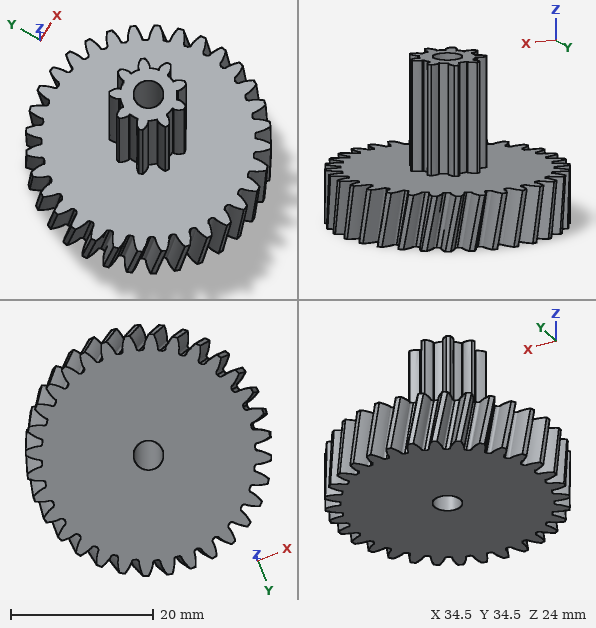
import cadquery as cq
import math

wheel_diameter = 34.5
wheel_width = 8.0
overall_height = 24.0
bore_diameter = 4.2

wheel_teeth = 32
pinion_teeth = 9
helix_angle = math.radians(10)
normal_pressure_angle = math.radians(20)

wheel_dedendum = 1.25
pinion_dedendum = 0.5
root_fillet = 0.38

wheel_tip_radius = wheel_diameter / 2
module = wheel_tip_radius / (wheel_teeth / (2 * math.cos(helix_angle)) + 1)
wheel_pitch_radius = wheel_tip_radius - module
wheel_root_radius = wheel_pitch_radius - wheel_dedendum * module
wheel_root_fillet = root_fillet * module
wheel_pressure_angle = math.atan(math.tan(normal_pressure_angle) / math.cos(helix_angle))
wheel_twist = math.degrees(wheel_width * math.tan(helix_angle) / wheel_pitch_radius)

pinion_pitch_radius = pinion_teeth * module / 2
pinion_tip_radius = pinion_pitch_radius + module
pinion_root_radius = pinion_pitch_radius - pinion_dedendum * module

flank_points = 5


def polar(radius, angle):
    return (radius * math.cos(angle), radius * math.sin(angle))


def involute(angle):
    return math.tan(angle) - angle


def half_tooth_at_base(teeth, pressure_angle):
    """Half of a tooth's angle, measured on the base circle."""
    return math.pi / (2 * teeth) + involute(pressure_angle)


def involute_flank(base_radius, start_radius, tip_radius, half_base_angle):
    """(radius, half tooth angle) pairs along one flank, from its foot to the tip."""
    flank = []
    for i in range(flank_points):
        radius = start_radius + (tip_radius - start_radius) * i / (flank_points - 1)
        flank.append((radius, half_base_angle - involute(math.acos(base_radius / radius))))
    return flank


def gear_outline(teeth, flank, root_radius, foot_angle, fillet_middle=None):
    """Closed toothed outline with the first tooth centred on +X.

    The root arc ends at foot_angle from each tooth's centre. It joins the flank by an arc
    through fillet_middle (radius, half tooth angle), or by a radial line if there is none.
    """
    pitch_angle = 2 * math.pi / teeth
    tip_radius = flank[-1][0]
    outline = cq.Workplane("XY").moveTo(*polar(root_radius, -foot_angle))
    for tooth in range(teeth):
        centre = tooth * pitch_angle
        rising = [polar(radius, centre - angle) for radius, angle in flank]
        falling = [polar(radius, centre + angle) for radius, angle in reversed(flank)]
        root_end = polar(root_radius, centre + foot_angle)
        next_root = polar(root_radius, centre + pitch_angle - foot_angle)

        if fillet_middle:
            middle_radius, middle_angle = fillet_middle
            outline = outline.threePointArc(polar(middle_radius, centre - middle_angle), rising[0])
        else:
            outline = outline.lineTo(*rising[0])
        outline = outline.spline(rising[1:], includeCurrent=True)
        outline = outline.threePointArc(polar(tip_radius, centre), falling[0])
        outline = outline.spline(falling[1:], includeCurrent=True)
        if fillet_middle:
            outline = outline.threePointArc(polar(middle_radius, centre + middle_angle), root_end)
        else:
            outline = outline.lineTo(*root_end)
        outline = outline.threePointArc(polar(root_radius, centre + pitch_angle / 2), next_root)
    return outline.close()


def make_wheel():
    base_radius = wheel_pitch_radius * math.cos(wheel_pressure_angle)
    half_base_angle = half_tooth_at_base(wheel_teeth, wheel_pressure_angle)

    centre_radius = wheel_root_radius + wheel_root_fillet
    turn = wheel_root_fillet / base_radius
    centre_angle = half_base_angle + turn - involute(math.acos(base_radius / centre_radius))
    contact_length = math.sqrt(centre_radius**2 - base_radius**2) + wheel_root_fillet
    contact_radius = math.hypot(base_radius, contact_length)
    flank = involute_flank(base_radius, contact_radius, wheel_tip_radius, half_base_angle)

    centre_x, centre_y = polar(centre_radius, centre_angle)
    contact_x, contact_y = polar(*flank[0])
    root_x, root_y = polar(wheel_root_radius, centre_angle)
    toward_x = (contact_x + root_x) / 2 - centre_x
    toward_y = (contact_y + root_y) / 2 - centre_y
    stretch = wheel_root_fillet / math.hypot(toward_x, toward_y)
    middle_x = centre_x + stretch * toward_x
    middle_y = centre_y + stretch * toward_y
    fillet_middle = (math.hypot(middle_x, middle_y), math.atan2(middle_y, middle_x))

    outline = gear_outline(wheel_teeth, flank, wheel_root_radius, centre_angle, fillet_middle)
    return outline.twistExtrude(wheel_width, wheel_twist)


def make_pinion():
    base_radius = pinion_pitch_radius * math.cos(normal_pressure_angle)
    half_base_angle = half_tooth_at_base(pinion_teeth, normal_pressure_angle)
    flank = involute_flank(base_radius, base_radius, pinion_tip_radius, half_base_angle)
    outline = gear_outline(pinion_teeth, flank, pinion_root_radius, half_base_angle)
    return outline.extrude(overall_height - wheel_width).translate((0, 0, wheel_width))


bore = cq.Workplane("XY").circle(bore_diameter / 2).extrude(overall_height)

result = make_wheel().union(make_pinion()).cut(bore)